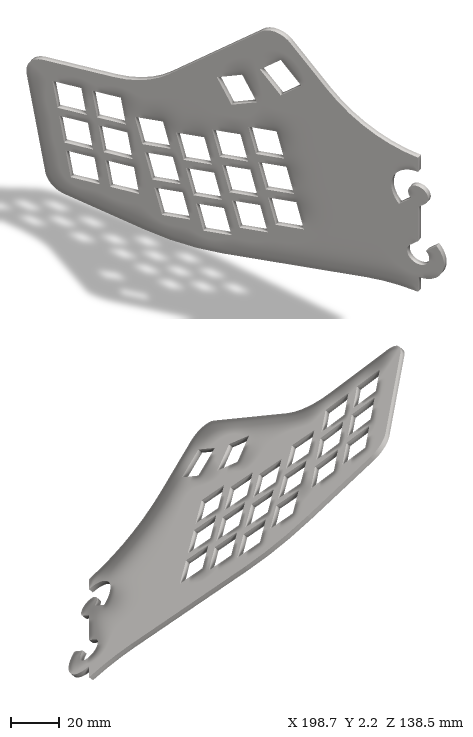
import cadquery as cq
import math


thickness = 2.2

window_side = 14.0
row_pitch = 18.0
column_pitch = 19.0
column_stagger = 4.8
row_count = 3

pinky_tilt = 10
pinky_home = (-162.8, -23.9)
pinky_offsets = (0, 0)

finger_tilt = 15
finger_home = (-121.6, -24.6)
finger_offsets = (0, -column_stagger, 0, column_stagger)

thumb_keys = (
    ((-86.3, 35.2), 30),
    ((-65.4, 51.5), 45),
)

joint_edge_half = 37.2
thumb_tilt = 45
heel_tilt = -3.3
corner_radius = 9.7
valley_radius = 49.7
heel_radius = 119.3
top_edge = ((0, joint_edge_half), 0)
thumb_apex = (-67.8, 79.7)
thumb_inner_edge = (thumb_apex, -thumb_tilt)
thumb_outer_edge = (thumb_apex, thumb_tilt)
pinky_top_edge = ((-164.8, 11.7), pinky_tilt)
pinky_side_edge = ((-182.0, -26.0), pinky_tilt + 90)
heel_edge = ((-168.0, -60.5), heel_tilt)
palm_edge = ((-28.2, -41.3), finger_tilt)
bottom_edge = ((0, -joint_edge_half), 0)

joint_offset = 16.5
joint_angle = 45
peg_radius = 4.8
hook_radius = 12.3
joint_clearance = 0.5
socket_radius = peg_radius + joint_clearance
slot_radius = hook_radius + joint_clearance


def polar(center, radius, angle):
    """Point at a distance and an angle in degrees from a centre."""
    turn = math.radians(angle)
    return (center[0] + radius * math.cos(turn), center[1] + radius * math.sin(turn))


def meet(edge_a, edge_b):
    """Point where two straight edges, each a point and an angle, cross."""
    (ax, az), angle_a = edge_a
    (bx, bz), angle_b = edge_b
    dir_bx, dir_bz = polar((0, 0), 1, angle_b)
    across = math.sin(math.radians(angle_b - angle_a))
    along = ((bx - ax) * dir_bz - (bz - az) * dir_bx) / across
    return polar((ax, az), along, angle_a)


def toward(start, end, distance):
    """Point at a distance from start on the way to end."""
    share = distance / math.dist(start, end)
    return (start[0] + share * (end[0] - start[0]), start[1] + share * (end[1] - start[1]))


def plate(wire):
    """Extrude a closed outline through the plate thickness."""
    return wire.extrude(thickness / 2, both=True)


def corner_arc(before, corner, after, radius):
    """Start, end and signed radius of the tangent arc that rounds a corner."""
    heading_in = math.atan2(corner[1] - before[1], corner[0] - before[0])
    heading_out = math.atan2(after[1] - corner[1], after[0] - corner[0])
    turn = math.remainder(heading_out - heading_in, 2 * math.pi)
    setback = radius * math.tan(abs(turn) / 2)
    signed_radius = math.copysign(radius, -turn)
    return toward(corner, before, setback), toward(corner, after, setback), signed_radius


def blank():
    """Plate outline without the joint, with every corner rounded by a tangent arc."""
    top_bend = meet(top_edge, thumb_inner_edge)
    palm_bend = meet(palm_edge, bottom_edge)
    top_radius = -top_bend[0] / math.tan(math.radians(thumb_tilt / 2))
    palm_radius = -palm_bend[0] / math.tan(math.radians(finger_tilt / 2))
    corners = (
        (top_bend, top_radius),
        (thumb_apex, corner_radius),
        (meet(thumb_outer_edge, pinky_top_edge), valley_radius),
        (meet(pinky_top_edge, pinky_side_edge), corner_radius),
        (meet(pinky_side_edge, heel_edge), corner_radius),
        (meet(heel_edge, palm_edge), heel_radius),
        (palm_bend, palm_radius),
    )
    joint_top, _ = top_edge
    joint_bottom, _ = bottom_edge
    points = [joint_top, *(corner for corner, _ in corners), joint_bottom]

    path = cq.Workplane("XZ").moveTo(*joint_top)
    for index, (corner, radius) in enumerate(corners):
        arc_start, arc_end, signed_radius = corner_arc(points[index], corner, points[index + 2], radius)
        if index > 0:
            path = path.lineTo(*arc_start)
        path = path.radiusArc(arc_end, signed_radius)
    return plate(path.close())


def sector(center, radius, start_angle, end_angle):
    """Pie slice swept counterclockwise from one angle to another."""
    middle = polar(center, radius, (start_angle + end_angle) / 2)
    return plate(
        cq.Workplane("XZ")
        .moveTo(*center)
        .lineTo(*polar(center, radius, start_angle))
        .threePointArc(middle, polar(center, radius, end_angle))
        .close()
    )


def necked_disc(center, radius, tangent_angle):
    """Disc with a straight flank running tangentially from it to the joint edge."""
    flank_end = (0, center[1] + radius / math.sin(math.radians(tangent_angle)))
    disc = plate(cq.Workplane("XZ").center(*center).circle(radius))
    flank = plate(
        cq.Workplane("XZ").polyline([center, polar(center, radius, tangent_angle), flank_end]).close()
    )
    return disc.union(flank)


def window(center, tilt):
    """Square key window turned by its tilt."""
    return plate(
        cq.Workplane("XZ").center(*center).transformed(rotate=(0, 0, tilt)).rect(window_side, window_side)
    )


def key_block(home, tilt, offsets):
    """Columns of windows; home is the middle key of the first column."""
    keys = []
    for column, offset in enumerate(offsets):
        column_home = polar(polar(home, column * column_pitch, tilt), offset, tilt + 90)
        for row in range(row_count):
            rise = (row - (row_count - 1) / 2) * row_pitch
            keys.append((polar(column_home, rise, tilt + 90), tilt))
    return keys


peg_center = (0, joint_offset)
socket_center = (0, -joint_offset)

result = blank()
result = result.cut(sector(peg_center, slot_radius, 90, 180 + joint_angle))
result = result.union(necked_disc(peg_center, peg_radius, -joint_angle))
result = result.union(sector(socket_center, hook_radius, -90, joint_angle))
result = result.cut(necked_disc(socket_center, socket_radius, 180 - joint_angle))

all_keys = [
    *key_block(pinky_home, pinky_tilt, pinky_offsets),
    *key_block(finger_home, finger_tilt, finger_offsets),
    *thumb_keys,
]
for key_center, key_tilt in all_keys:
    result = result.cut(window(key_center, key_tilt))